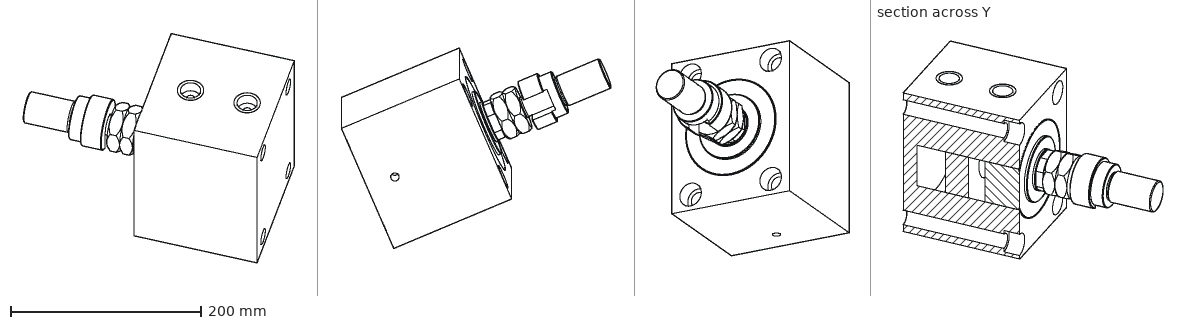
import cadquery as cq
import math


STUD_END = 48.5
STEP_START = 51.7
SLOT_START = 61.7
RING_START = 65.8
RING_END = 88.7
HEX_START = 93.5
HEX_LENGTH = 14.1
HEX_COUNT = 2
ROD_END = HEX_START + HEX_COUNT * HEX_LENGTH
FLATS_END = 130.8
COLLAR_START = 133.8
BLOCK_START = 137.0
TOTAL_LENGTH = 272.0

BLOCK_LENGTH = TOTAL_LENGTH - BLOCK_START
BLOCK_WIDTH = 140.0
BLOCK_HEIGHT = 170.0
BORE_RADIUS = 53.5
BORE_END = 255.7

BOLT_SPACING_Y = 95.2
BOLT_SPACING_Z = 135.0
BOLT_HOLE_DIAMETER = 17.0
BOLT_HEAD_DIAMETER = 25.5
BOLT_HEAD_DEPTH = 18.0

FRONT_PORT_X = BLOCK_START + 41.5
PORT_SPACING = 62.0
PORT_X = (FRONT_PORT_X, FRONT_PORT_X + PORT_SPACING)
PORT_DIAMETER = 21.2
PORT_DEPTH = 13.0
PORT_SPOTFACE_DIAMETER = 27.7
PORT_SPOTFACE_DEPTH = 0.3
OIL_HOLE_DIAMETER = 8.7

GLAND_DEPTH = 40.3
GLAND_CHAMFER = 1.0
COLLAR_RADIUS = 36.0
COLLAR_CHAMFER = 0.8

ROD_RADIUS = 22.5
ROD_CHAMFER = 0.8
FLATTED_RADIUS = 22.0
FLATS_WIDTH = 40.0
PISTON_START = 195.8
PISTON_END = 223.0

HEX_WIDTH = 46.5
HEX_CORNER_RADIUS = HEX_WIDTH / 2 / math.cos(math.pi / 6)
HEX_FACE_RADIUS = 23.0
HEX_CHAMFER_LENGTH = 3.8
NECK_RADIUS = 11.0
NECK_FLARE = 0.5
NECK_FLARE_LENGTH = 1.5

STUD_RADIUS = 17.0
STUD_CHAMFER = 1.0
RELIEF_RADIUS = 15.2
RELIEF_TAPER = 1.5
STEP_RADIUS = 23.7
RING_RADIUS = 27.5
COUPLING_CHAMFER = 0.8
SLOT_WIDTH = 23.7


def revolve_about_axis(profile):
    """Revolve an (x, radius) profile, closed along the X axis, into a solid."""
    closed = [(profile[0][0], 0), *profile, (profile[-1][0], 0)]
    return cq.Workplane("XY").polyline(closed).close().revolve(360, (0, 0, 0), (1, 0, 0))


def axial_cylinder(start, end, radius):
    return cq.Workplane("YZ", origin=(start, 0, 0)).circle(radius).extrude(end - start)


def axial_box(start, end, width, height):
    return cq.Workplane("YZ", origin=(start, 0, 0)).rect(width, height).extrude(end - start)


def hole_down(x, diameter, depth):
    """Cutter for a hole sunk into the block's top face."""
    top = cq.Workplane("XY", origin=(x, 0, BLOCK_HEIGHT / 2))
    return top.circle(diameter / 2).extrude(-depth)


def make_block():
    block = axial_box(BLOCK_START, TOTAL_LENGTH, BLOCK_WIDTH, BLOCK_HEIGHT)
    block = block.cut(axial_cylinder(BLOCK_START, BORE_END, BORE_RADIUS))

    front = cq.Workplane("YZ", origin=(BLOCK_START, 0, 0))
    corners = front.rect(BOLT_SPACING_Y, BOLT_SPACING_Z, forConstruction=True).vertices()
    block = block.cut(corners.circle(BOLT_HOLE_DIAMETER / 2).extrude(BLOCK_LENGTH))
    block = block.cut(corners.circle(BOLT_HEAD_DIAMETER / 2).extrude(BOLT_HEAD_DEPTH))

    for x in PORT_X:
        block = block.cut(hole_down(x, PORT_SPOTFACE_DIAMETER, PORT_SPOTFACE_DEPTH))
        block = block.cut(hole_down(x, PORT_DIAMETER, PORT_DEPTH))
        block = block.cut(hole_down(x, OIL_HOLE_DIAMETER, BLOCK_HEIGHT / 2))

    return block.cut(hole_down(PORT_X[1], OIL_HOLE_DIAMETER, BLOCK_HEIGHT))


def make_gland():
    gland_end = BLOCK_START + GLAND_DEPTH
    gland = revolve_about_axis([
        (COLLAR_START, COLLAR_RADIUS - COLLAR_CHAMFER),
        (COLLAR_START + COLLAR_CHAMFER, COLLAR_RADIUS),
        (BLOCK_START, COLLAR_RADIUS),
        (BLOCK_START, BORE_RADIUS - GLAND_CHAMFER),
        (BLOCK_START + GLAND_CHAMFER, BORE_RADIUS),
        (gland_end, BORE_RADIUS),
    ])
    return gland.cut(axial_cylinder(COLLAR_START, gland_end, ROD_RADIUS))


def make_rod():
    wrench_end = revolve_about_axis([
        (ROD_END, FLATTED_RADIUS - ROD_CHAMFER),
        (ROD_END + ROD_CHAMFER, FLATTED_RADIUS),
        (FLATS_END, FLATTED_RADIUS),
    ])
    wrench_end = wrench_end.intersect(axial_box(ROD_END, FLATS_END, FLATS_WIDTH, FLATS_WIDTH))
    shaft = revolve_about_axis([
        (FLATS_END, ROD_RADIUS - ROD_CHAMFER),
        (FLATS_END + ROD_CHAMFER, ROD_RADIUS),
        (PISTON_START, ROD_RADIUS),
        (PISTON_START, BORE_RADIUS),
        (PISTON_END, BORE_RADIUS),
    ])
    return wrench_end.union(shaft)


def make_hexagon(start):
    """One hexagon with corners on the Z axis and both ends chamfered."""
    end = start + HEX_LENGTH
    angles = [math.pi / 2 + i * math.pi / 3 for i in range(6)]
    corners = [(HEX_CORNER_RADIUS * math.cos(a), HEX_CORNER_RADIUS * math.sin(a)) for a in angles]
    prism = cq.Workplane("YZ", origin=(start, 0, 0)).polyline(corners).close().extrude(HEX_LENGTH)
    envelope = revolve_about_axis([
        (start, HEX_FACE_RADIUS),
        (start + HEX_CHAMFER_LENGTH, HEX_CORNER_RADIUS),
        (end - HEX_CHAMFER_LENGTH, HEX_CORNER_RADIUS),
        (end, HEX_FACE_RADIUS),
    ])
    return prism.intersect(envelope)


def make_hex_stud():
    stud = revolve_about_axis([
        (SLOT_START, NECK_RADIUS),
        (HEX_START - NECK_FLARE_LENGTH, NECK_RADIUS),
        (HEX_START, NECK_RADIUS + NECK_FLARE),
    ])
    for i in range(HEX_COUNT):
        stud = stud.union(make_hexagon(HEX_START + i * HEX_LENGTH))
    return stud


def make_coupling():
    coupling = revolve_about_axis([
        (0, STUD_RADIUS - STUD_CHAMFER),
        (STUD_CHAMFER, STUD_RADIUS),
        (STUD_END, STUD_RADIUS),
        (STUD_END + RELIEF_TAPER, RELIEF_RADIUS),
        (STEP_START, RELIEF_RADIUS),
        (STEP_START, STEP_RADIUS - COUPLING_CHAMFER),
        (STEP_START + COUPLING_CHAMFER, STEP_RADIUS),
        (RING_START, STEP_RADIUS),
        (RING_START, RING_RADIUS - COUPLING_CHAMFER),
        (RING_START + COUPLING_CHAMFER, RING_RADIUS),
        (RING_END - COUPLING_CHAMFER, RING_RADIUS),
        (RING_END, RING_RADIUS - COUPLING_CHAMFER),
    ])
    slot_channel = axial_box(SLOT_START, RING_END, SLOT_WIDTH, 2 * RING_RADIUS)
    slot_channel = slot_channel.translate((0, 0, -RING_RADIUS))
    slot_round = axial_cylinder(SLOT_START, RING_END, SLOT_WIDTH / 2)
    return coupling.cut(slot_channel).cut(slot_round)


block = make_block()
gland = make_gland()
rod = make_rod()
hex_stud = make_hex_stud()
coupling = make_coupling()

result = cq.Compound.makeCompound([
    block.solids().val(),
    gland.solids().val(),
    rod.solids().val(),
    hex_stud.solids().val(),
    coupling.solids().val(),
])